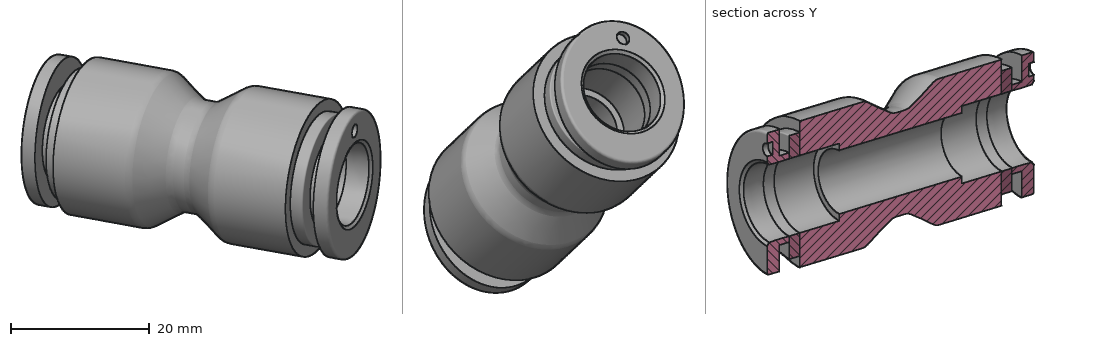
import cadquery as cq

OVERALL_LENGTH = 48.3
END_X = OVERALL_LENGTH / 2

BORE_DIAMETER = 12.15

FLANGE_WIDTH_Y = 19.6
FLANGE_HEIGHT_Z = 22.5
FLANGE_THICKNESS = 2.25
FLANGE_EDGE_RADIUS = 0.4
NECK_DIAMETER = 14.2
MOUTH_DIAMETER = 13.25
MOUTH_DEPTH = 0.4
TAPER_DIAMETER = 12.2
MARK_DIAMETER = 2.0
MARK_DEPTH = 0.95
MARK_HEIGHT = 8.55

COLLAR_DIAMETER = 19.6
COLLAR_LENGTH = 1.95
COLLAR_EDGE_RADIUS = 0.2

HOUSING_DIAMETER = 23.2
HOUSING_LENGTH = 36.5
WAIST_DIAMETER = 16.5
WAIST_LENGTH = 2.8
SHOULDER_SPACING = 12.8
BLEND_RADIUS = 1.85
PASSAGE_DIAMETER = 10.0
SEAT_DEPTH = 13.05

HOUSING_END_X = HOUSING_LENGTH / 2
COLLAR_END_X = HOUSING_END_X + COLLAR_LENGTH
SEAT_X = END_X - SEAT_DEPTH


def disc(diameter, start_x, end_x):
    """Cylinder on the X axis between two X positions."""
    return cq.Workplane("YZ", origin=(start_x, 0, 0)).circle(diameter / 2).extrude(end_x - start_x)


def revolve_about_x(points):
    """Solid of revolution about the X axis from (x, radius) points."""
    return cq.Workplane("XY").polyline(points).close().revolve(360, (0, 0, 0), (1, 0, 0))


def make_housing():
    """Waisted tube with blended cones, a narrow passage and a wider tube seat at each end."""
    outer_radius = HOUSING_DIAMETER / 2
    waist_radius = WAIST_DIAMETER / 2
    right_profile = [
        (WAIST_LENGTH / 2, waist_radius),
        (SHOULDER_SPACING / 2, outer_radius),
        (HOUSING_END_X, outer_radius),
        (HOUSING_END_X, 0),
    ]
    left_profile = [(-x, radius) for x, radius in reversed(right_profile)]
    housing = revolve_about_x(left_profile + right_profile)

    box_x = (HOUSING_END_X + SHOULDER_SPACING / 2) / 2
    cone_edges = cq.selectors.BoxSelector(
        (-box_x, -HOUSING_DIAMETER, -HOUSING_DIAMETER),
        (box_x, HOUSING_DIAMETER, HOUSING_DIAMETER),
    )
    housing = housing.edges("%CIRCLE").edges(cone_edges).fillet(BLEND_RADIUS)

    housing = housing.cut(disc(PASSAGE_DIAMETER, -HOUSING_END_X, HOUSING_END_X))
    for side in (-1, 1):
        housing = housing.cut(disc(BORE_DIAMETER, side * SEAT_X, side * HOUSING_END_X))
    return housing


def make_right_collar():
    """Ring with a rounded outer edge and the tube bore through it."""
    collar = disc(COLLAR_DIAMETER, HOUSING_END_X, COLLAR_END_X)
    collar = collar.faces(">X").edges().fillet(COLLAR_EDGE_RADIUS)
    return collar.cut(disc(BORE_DIAMETER, HOUSING_END_X, COLLAR_END_X))


def make_right_sleeve():
    """Neck with an oval flange, a slightly tapered bore with a flared mouth, and a marking recess."""
    flange = (
        cq.Workplane("YZ", origin=(END_X - FLANGE_THICKNESS, 0, 0))
        .ellipse(FLANGE_WIDTH_Y / 2, FLANGE_HEIGHT_Z / 2)
        .extrude(FLANGE_THICKNESS)
        .faces(">X")
        .edges()
        .fillet(FLANGE_EDGE_RADIUS)
    )
    sleeve = flange.union(disc(NECK_DIAMETER, COLLAR_END_X, END_X - FLANGE_THICKNESS))

    bore = revolve_about_x(
        [
            (COLLAR_END_X, 0),
            (COLLAR_END_X, BORE_DIAMETER / 2),
            (END_X - MOUTH_DEPTH, TAPER_DIAMETER / 2),
            (END_X, MOUTH_DIAMETER / 2),
            (END_X, 0),
        ]
    )
    mark = disc(MARK_DIAMETER, END_X - MARK_DEPTH, END_X).translate((0, 0, MARK_HEIGHT))
    return sleeve.cut(bore).cut(mark)


def right_and_left(right_body):
    """The body and its mirror image at the other end of the connector."""
    return [right_body.val(), right_body.mirror("YZ").val()]


housing = make_housing()
collars = right_and_left(make_right_collar())
sleeves = right_and_left(make_right_sleeve())

result = cq.Compound.makeCompound([housing.val(), *collars, *sleeves])